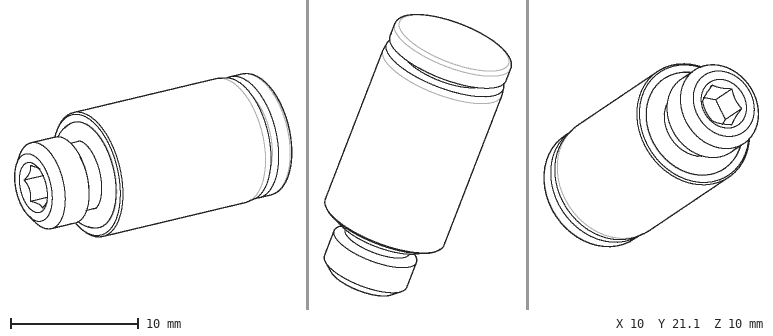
import cadquery as cq
import math

total_length = 21.15
front_y = -total_length / 2
back_y = total_length / 2

stud_radius = 3.47
stud_neck_radius = 2.7
stud_end_chamfer_length = 0.72
stud_shoulder_y = front_y + 2.96
stud_neck_y = front_y + 3.4

hex_across_flats = 3.0
hex_depth = 3.0
countersink_radius = 2.0
countersink_angle = 45.0

housing_diameter = 10.0
housing_radius = housing_diameter / 2
housing_front_y = front_y + 4.97
housing_back_y = front_y + 19.04
housing_front_chamfer = 0.15
housing_taper_length = 0.57
housing_taper_rise = 0.08

collar_neck_radius = 3.47
collar_lip_radius = 4.89
collar_lip_thickness = 1.37
collar_neck_fillet = 0.5
collar_rim_fillet = 0.3

ring_outer_radius = 4.25
ring_tube_radius = (ring_outer_radius - stud_neck_radius) / 2
ring_center_radius = stud_neck_radius + ring_tube_radius
ring_protrusion = 0.7
ring_center_y = housing_front_y - ring_protrusion + ring_tube_radius


def make_sealing_ring():
    """Round-section ring around the stud neck."""
    return (
        cq.Workplane("XY")
        .center(ring_center_radius, ring_center_y)
        .circle(ring_tube_radius)
        .revolve(360, (-ring_center_radius, 0), (-ring_center_radius, 1))
    )


def make_turned_blank():
    """Stud, sleeve and collar as one turned profile."""
    lip_front_y = back_y - collar_lip_thickness
    neck_fillet_y = lip_front_y - collar_neck_fillet
    rim_fillet_y = back_y - collar_rim_fillet
    return (
        cq.Workplane("XY")
        .moveTo(0, front_y)
        .lineTo(stud_neck_radius, front_y)
        .lineTo(stud_radius, front_y + stud_end_chamfer_length)
        .lineTo(stud_radius, stud_shoulder_y)
        .lineTo(stud_neck_radius, stud_neck_y)
        .lineTo(stud_neck_radius, housing_front_y)
        .lineTo(housing_radius - housing_front_chamfer, housing_front_y)
        .lineTo(housing_radius, housing_front_y + housing_front_chamfer)
        .lineTo(housing_radius, housing_back_y - housing_taper_length)
        .lineTo(housing_radius - housing_taper_rise, housing_back_y)
        .lineTo(collar_neck_radius, housing_back_y)
        .lineTo(collar_neck_radius, neck_fillet_y)
        .radiusArc((collar_neck_radius + collar_neck_fillet, lip_front_y), collar_neck_fillet)
        .lineTo(collar_lip_radius, lip_front_y)
        .lineTo(collar_lip_radius, rim_fillet_y)
        .radiusArc((collar_lip_radius - collar_rim_fillet, back_y), -collar_rim_fillet)
        .lineTo(0, back_y)
        .close()
        .revolve(360, (0, 0), (0, 1))
    )


def make_hex_socket():
    """Blind hexagon with flats facing up and down, plus its conical lead-in."""
    hex_across_corners = hex_across_flats / math.cos(math.radians(30))
    cone_depth = countersink_radius / math.tan(math.radians(countersink_angle))
    hexagon = (
        cq.Workplane("XZ", origin=(0, front_y, 0))
        .polygon(6, hex_across_corners)
        .extrude(-hex_depth)
    )
    lead_in = (
        cq.Workplane("XY")
        .moveTo(0, front_y)
        .lineTo(countersink_radius, front_y)
        .lineTo(0, front_y + cone_depth)
        .close()
        .revolve(360, (0, 0), (0, 1))
    )
    return hexagon.union(lead_in)


sealing_ring = make_sealing_ring()

fitting_body = make_turned_blank().cut(make_hex_socket()).cut(sealing_ring)

result = cq.Compound.makeCompound([fitting_body.val(), sealing_ring.val()])